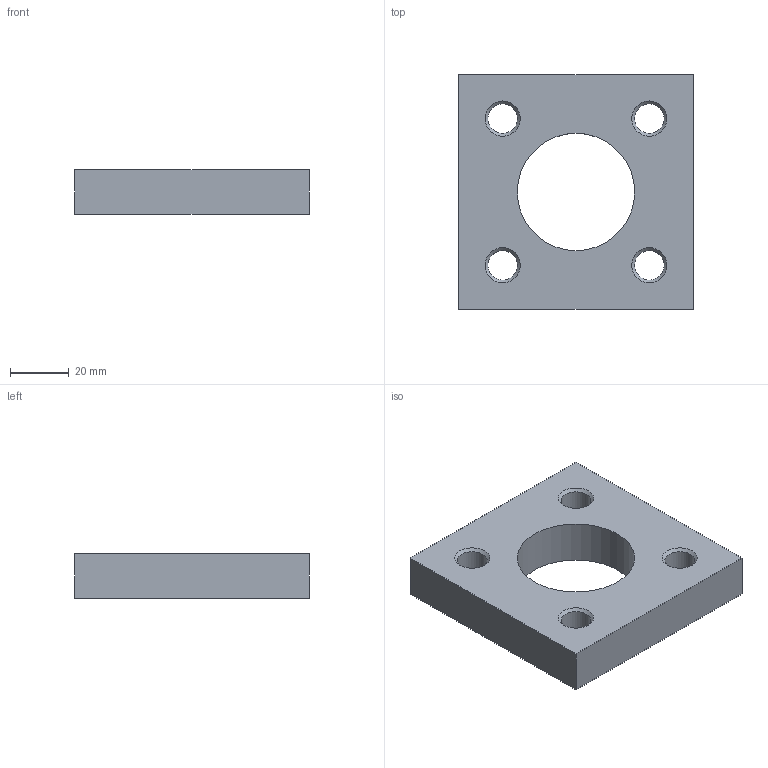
import cadquery as cq

plate_side = 80.0
plate_thickness = 15.0

bore_diameter = 40.0

hole_spacing = 50.0
hole_diameter = 10.106
countersink_diameter = 12.0
countersink_angle = 90.0


def make_plate():
    """Square plate centred on the Z axis, resting on Z = 0."""
    return cq.Workplane("XY").box(
        plate_side, plate_side, plate_thickness, centered=(True, True, False)
    )


def cut_bore(body):
    """Through bore in the middle of the plate."""
    return body.faces(">Z").workplane(origin=(0, 0, 0)).hole(bore_diameter)


def cut_corner_holes(body):
    """Four through holes on a square pattern, countersunk from the top face."""
    return (
        body.faces(">Z")
        .workplane(origin=(0, 0, 0))
        .rarray(hole_spacing, hole_spacing, 2, 2)
        .cskHole(hole_diameter, countersink_diameter, countersink_angle)
    )


result = cut_corner_holes(cut_bore(make_plate()))